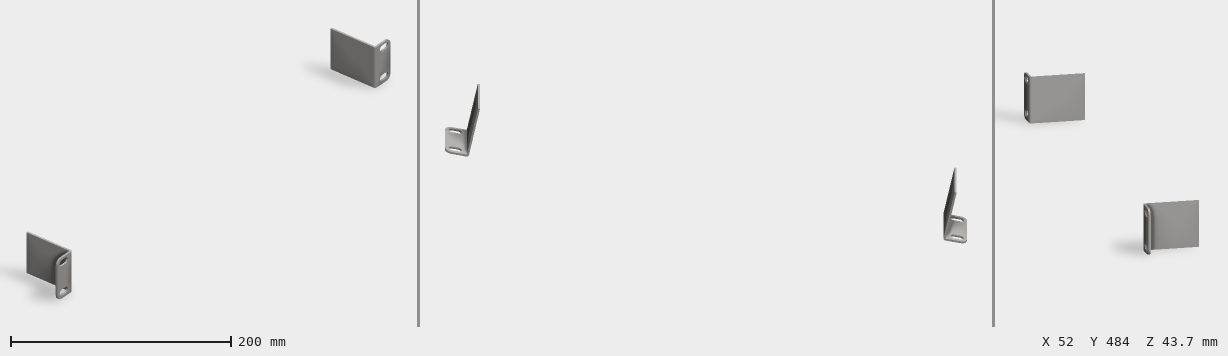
import cadquery as cq

bracket_length = 52.0
bracket_height = 43.66
pair_width = 484.0

bracket_depth = 22.0
sheet_thickness = 2.0
bend_radius = sheet_thickness
flange_corner_radius = 6.0

slot_length = 12.0
slot_height = 6.4
slot_spacing = 31.75
lower_slot_rise = 6.35
slot_edge_distance = 9.25

plate_end_x = -bracket_length / 2
flange_back_x = bracket_length / 2
flange_front_x = flange_back_x - sheet_thickness
flange_edge_y = pair_width / 2
plate_outer_y = flange_edge_y - bracket_depth
plate_inner_y = plate_outer_y + sheet_thickness
slot_y = flange_edge_y - slot_edge_distance
bottom_z = -bracket_height / 2
slot_pair_z = bottom_z + lower_slot_rise + slot_spacing / 2


def make_angle():
    """L-shaped body with a rounded outer bend and rounded flange corners."""
    angle = (
        cq.Workplane("XY", origin=(0, 0, bottom_z))
        .moveTo(plate_end_x, plate_outer_y)
        .lineTo(flange_back_x, plate_outer_y)
        .lineTo(flange_back_x, flange_edge_y)
        .lineTo(flange_front_x, flange_edge_y)
        .lineTo(flange_front_x, plate_inner_y)
        .lineTo(plate_end_x, plate_inner_y)
        .close()
        .extrude(bracket_height)
    )
    angle = angle.edges("|Z and >X and <Y").fillet(bend_radius)
    return angle.edges("|X and >Y").fillet(flange_corner_radius)


def make_slots():
    """Cutters for the two slots, running through the flange along X."""
    return (
        cq.Workplane("YZ", origin=(flange_front_x, slot_y, slot_pair_z))
        .rarray(1, slot_spacing, 1, 2)
        .slot2D(slot_length, slot_height)
        .extrude(sheet_thickness)
    )


def make_bracket(side):
    """Rack ear on the +Y side (side = 1) or its mirror image on the -Y side (side = -1)."""
    bracket = make_angle().cut(make_slots())
    return bracket if side > 0 else bracket.mirror("XZ")


brackets = [make_bracket(side) for side in (1, -1)]

result = cq.Compound.makeCompound([bracket.val() for bracket in brackets])